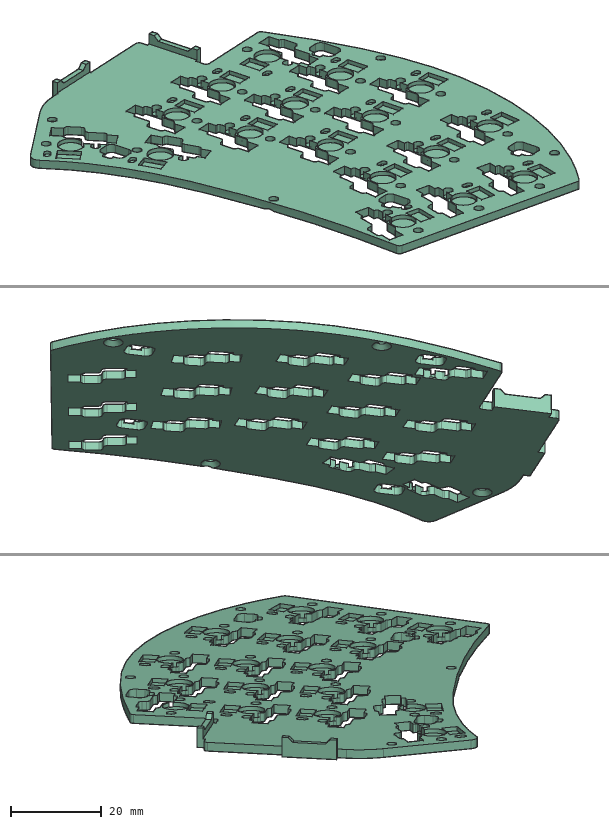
import cadquery as cq
import math


PLATE_THICKNESS = 2.0
LEFT_EDGE_X = -58.0
SHELF_EDGE_Y = 15.2
STEP_X = -39.3
TOP_CURVE = [(STEP_X, 35.0), (-19.0, 41.0), (4.2, 43.6), (29.8, 38.7), (59.6, 18.6)]
BOTTOM_CURVE = [(45.7, -30.0), (23.3, -29.2), (0.0, -30.6), (-21.4, -34.3), (-44.5, -44.4)]
THUMB_SIDE_ANGLE = 30
BEND_RADIUS = 15.7
THUMB_CORNER_RADIUS = 2.1
CORNER_RADIUS = 1.0
RIGHT_CORNER_RADIUS = 1.0

OVERALL_HEIGHT = 4.5
WALL_THICKNESS = 1.3
WALL_END_WIDTH = 1.4
WALL_NOTCH_DEPTH = 1.1
LEFT_WALL_OUTER_X = -59.5
LEFT_WALL_ENDS = (-14.9, -2.6)
SHELF_WALL_OUTER_Y = 17.1
SHELF_WALL_ENDS = (-55.5, -42.4)

KEY_PITCH = 17.0
HUB_DIAMETER = 5.8
PIN_DIAMETER = 2.1
PIN_OFFSET = 5.5
LIGHT_SIZE = (5.4, 3.6)
LIGHT_OFFSET = 4.8
LEAD_SIZE = (1.5, 2.5)
LEAD_OFFSET = (-4.8, 4.8)
RECESS_DEPTH = 1.0
LEAD_DEPTH = 0.7
PIN_DEPTH = 1.7
SOCKET_CORNERS = [
    (-9.9, -1.9, 0), (-7.9, -1.9, 0), (-7.9, -1.0, 0.4), (-2.4, -1.0, 1.0),
    (-2.0, -3.2, 1.0), (1.5, -3.2, 0.5), (2.4, -4.0, 0), (5.1, -4.0, 0),
    (5.1, -7.7, 0), (2.4, -7.7, 0), (1.9, -8.6, 0.7), (-2.1, -8.6, 0.8),
    (-2.6, -6.3, 0.8), (-7.3, -6.3, 0.7), (-7.5, -5.5, 0), (-9.9, -5.5, 0),
]

COLUMNS = [
    (-31.0, 9.4, 0),
    (-12.9, 11.9, 0),
    (5.1, 17.3, 0),
    (26.0, 11.3, -8),
    (44.0, -3.5, -16),
]
ROWS = (1, 0, -1)
TURNED_KEY = (0, 1)
SHIFTED_LEADS = {TURNED_KEY: (-4.8, 6.7), (3, 1): (-5.0, 4.2)}
THUMB_KEYS = [(-22.7, -25.2, 195), (-41.3, -33.2, 210)]
THUMB_LEAD_OFFSET = (-LEAD_OFFSET[0], LEAD_OFFSET[1])

WINDOW_CENTERS = [(-22.5, 36.4), (40.7, 23.8), (32.1, -13.0), (-31.5, -29.9)]
WINDOW_SIZE = (6.4, 4.8)
WINDOW_CORNER_RADIUS = 1.4
WINDOW_LEAD_OFFSET = 2.9

SCREW_CENTERS = [(-10.1, 40.4), (47.4, 26.2), (-51.7, -25.8), (10.0, -27.9)]
SCREW_DIAMETER = 2.1
SCREW_HEAD_DIAMETER = 4.3
SCREW_HEAD_ANGLE = 90


def corner_fillet(solid, point, radius):
    """Round the vertical edge of the plate at a corner of its outline."""
    nearest = cq.selectors.NearestToPointSelector((*point, PLATE_THICKNESS / 2))
    return solid.edges("|Z").edges(nearest).fillet(radius)


def plate():
    thumb_corner = BOTTOM_CURVE[-1]
    lean = math.tan(math.radians(THUMB_SIDE_ANGLE))
    bend_corner = (LEFT_EDGE_X, thumb_corner[1] + (thumb_corner[0] - LEFT_EDGE_X) / lean)
    shelf_corner = (LEFT_EDGE_X, SHELF_EDGE_Y)
    step_corner = (STEP_X, SHELF_EDGE_Y)
    solid = (
        cq.Workplane("XY")
        .moveTo(*step_corner)
        .lineTo(*TOP_CURVE[0])
        .spline(TOP_CURVE[1:], includeCurrent=True)
        .lineTo(*BOTTOM_CURVE[0])
        .spline(BOTTOM_CURVE[1:], includeCurrent=True)
        .lineTo(*bend_corner)
        .lineTo(*shelf_corner)
        .close()
        .extrude(PLATE_THICKNESS)
    )
    rounded_corners = [
        (bend_corner, BEND_RADIUS),
        (thumb_corner, THUMB_CORNER_RADIUS),
        (shelf_corner, CORNER_RADIUS),
        (step_corner, CORNER_RADIUS),
        (TOP_CURVE[0], CORNER_RADIUS),
        (TOP_CURVE[-1], RIGHT_CORNER_RADIUS),
        (BOTTOM_CURVE[0], CORNER_RADIUS),
    ]
    for point, radius in rounded_corners:
        solid = corner_fillet(solid, point, radius)
    return solid


def wall(length, foot_depth):
    """A notched wall along +X with its outer face at Y = 0, on a foot reaching into the plate."""
    dip = WALL_NOTCH_DEPTH
    floor = OVERALL_HEIGHT - dip
    slope_start = WALL_END_WIDTH
    slope_end = WALL_END_WIDTH + dip
    profile = [
        (0, 0),
        (0, OVERALL_HEIGHT),
        (slope_start, OVERALL_HEIGHT),
        (slope_end, floor),
        (length - slope_end, floor),
        (length - slope_start, OVERALL_HEIGHT),
        (length, OVERALL_HEIGHT),
        (length, 0),
    ]
    upright = cq.Workplane("XZ").polyline(profile).close().extrude(WALL_THICKNESS)
    foot = cq.Workplane("XY").box(length, foot_depth, PLATE_THICKNESS, centered=False)
    return upright.union(foot.translate((0, -foot_depth, 0)))


def left_wall():
    start, end = LEFT_WALL_ENDS
    solid = wall(end - start, LEFT_EDGE_X - LEFT_WALL_OUTER_X)
    return solid.rotate((0, 0, 0), (0, 0, 1), 90).translate((LEFT_WALL_OUTER_X, start, 0))


def shelf_wall():
    start, end = SHELF_WALL_ENDS
    solid = wall(end - start, SHELF_WALL_OUTER_Y - SHELF_EDGE_Y)
    return solid.translate((start, SHELF_WALL_OUTER_Y, 0))


def rounded_polygon(corners):
    """Closed outline through (x, y, radius) corners, rounded where the radius is not zero."""
    outline = None
    for i, (x, y, radius) in enumerate(corners):
        here = cq.Vector(x, y)
        back = (cq.Vector(*corners[i - 1][:2]) - here).normalized()
        ahead = (cq.Vector(*corners[(i + 1) % len(corners)][:2]) - here).normalized()
        half_angle = back.getAngle(ahead) / 2
        setback = radius / math.tan(half_angle)
        start = here + back * setback
        if outline is None:
            outline = cq.Workplane("XY").moveTo(start.x, start.y)
        else:
            outline = outline.lineTo(start.x, start.y)
        if radius:
            to_center = (back + ahead).normalized()
            middle = here + to_center * (radius / math.sin(half_angle) - radius)
            end = here + ahead * setback
            outline = outline.threePointArc((middle.x, middle.y), (end.x, end.y))
    return outline.close()


def recess_plane(depth):
    """Workplane at the floor of a recess of the given depth."""
    return cq.Workplane("XY").workplane(offset=PLATE_THICKNESS - depth)


def lead_recess(offset, angle):
    """Blind obround recess, its long direction at an angle to +X."""
    width, length = LEAD_SIZE
    return recess_plane(LEAD_DEPTH).center(*offset).slot2D(length, width, angle).extrude(LEAD_DEPTH)


def switch_cutter():
    """Everything cut for one switch except its lead recess, around its middle."""
    socket = rounded_polygon(SOCKET_CORNERS).extrude(PLATE_THICKNESS)
    hub = recess_plane(RECESS_DEPTH).circle(HUB_DIAMETER / 2).extrude(RECESS_DEPTH)
    light = recess_plane(RECESS_DEPTH).center(0, LIGHT_OFFSET).rect(*LIGHT_SIZE).extrude(RECESS_DEPTH)
    pins = (
        recess_plane(PIN_DEPTH)
        .pushPoints([(-PIN_OFFSET, 0), (PIN_OFFSET, 0)])
        .circle(PIN_DIAMETER / 2)
        .extrude(PIN_DEPTH)
    )
    return socket.union(hub).union(light).union(pins)


def window_cutter():
    """A through window with the blind recess at its lower edge."""
    window = (
        cq.Workplane("XY")
        .rect(*WINDOW_SIZE)
        .extrude(PLATE_THICKNESS)
        .edges("|Z")
        .fillet(WINDOW_CORNER_RADIUS)
    )
    return window.union(lead_recess((0, -WINDOW_LEAD_OFFSET), 0))


def placed(solid, x, y, rotation=0):
    return solid.rotate((0, 0, 0), (0, 0, 1), rotation).translate((x, y, 0))


def switch_places():
    """The x, y, rotation and lead offset of every switch."""
    places = []
    for column, (x, y, lean) in enumerate(COLUMNS):
        for row in ROWS:
            key = (column, row)
            key_x = x - row * KEY_PITCH * math.sin(math.radians(lean))
            key_y = y + row * KEY_PITCH * math.cos(math.radians(lean))
            rotation = lean + 180 if key == TURNED_KEY else lean
            places.append((key_x, key_y, rotation, SHIFTED_LEADS.get(key, LEAD_OFFSET)))
    for x, y, rotation in THUMB_KEYS:
        places.append((x, y, rotation, THUMB_LEAD_OFFSET))
    return places


def screw_holes(solid):
    return (
        solid.faces("<Z")
        .workplane(origin=(0, 0, 0))
        .pushPoints([(x, -y) for x, y in SCREW_CENTERS])
        .cskHole(SCREW_DIAMETER, SCREW_HEAD_DIAMETER, SCREW_HEAD_ANGLE)
    )


body = plate().union(left_wall()).union(shelf_wall())
switch = switch_cutter()
window = window_cutter()

cutters = [placed(window, x, y) for x, y in WINDOW_CENTERS]
for x, y, rotation, lead_offset in switch_places():
    cutters.append(placed(switch, x, y, rotation))
    cutters.append(placed(lead_recess(lead_offset, 90), x, y, rotation))

recessed = body.val().cut(*[cutter.val() for cutter in cutters])
result = screw_holes(cq.Workplane(recessed)).solids()